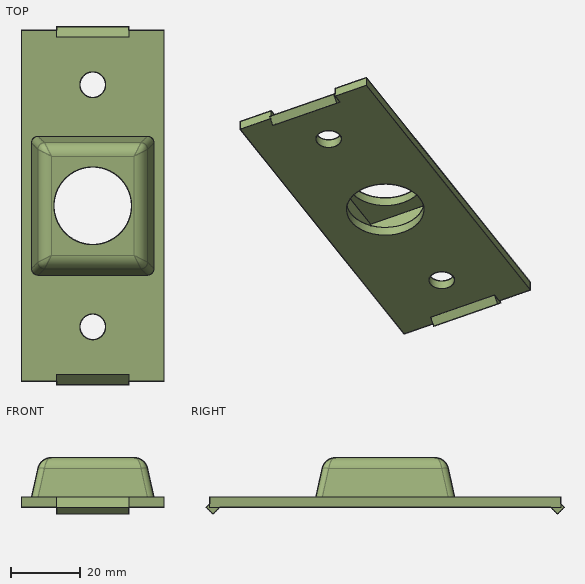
import cadquery as cq
import math

PLATE_WIDTH = 41.3
PLATE_LENGTH = 101.5
PLATE_THICKNESS = 3.0

HOUSING_WIDTH = 35.4
HOUSING_LENGTH = 40.2
HOUSING_HEIGHT = 11.4
DRAFT_ANGLE = 12.5
WALL = 3.0
CORNER_RADIUS = 2.0
TOP_RADIUS = 4.0

WINDOW_DIAMETER = 22.4
SCREW_HOLE_DIAMETER = 7.3
SCREW_HOLE_SPACING = 70.0

TAB_WIDTH = 20.9
TAB_SPAN = 103.5
TAB_DEPTH = 2.0
TAB_BASE = 2 * TAB_DEPTH

HOLE_CUT_HEIGHT = PLATE_THICKNESS + HOUSING_HEIGHT


def drafted_block(width, length, height):
    """Block on the plate's top face, narrowing upward at the draft angle."""
    return (
        cq.Workplane("XY")
        .workplane(offset=PLATE_THICKNESS)
        .rect(width, length)
        .extrude(height, taper=DRAFT_ANGLE)
    )


def make_housing():
    block = drafted_block(HOUSING_WIDTH, HOUSING_LENGTH, HOUSING_HEIGHT)
    rounded = block.faces(">Z").edges().fillet(TOP_RADIUS)
    return rounded.edges("not(|X or |Y)").edges("<Z").fillet(CORNER_RADIUS)


def make_cavity():
    wall_offset = WALL / math.cos(math.radians(DRAFT_ANGLE))
    return drafted_block(
        HOUSING_WIDTH - 2 * wall_offset,
        HOUSING_LENGTH - 2 * wall_offset,
        HOUSING_HEIGHT - WALL,
    )


def tab_prism(profile):
    """Extrude a (Y, Z) profile across the tab width, centred on X = 0."""
    return cq.Workplane("YZ").polyline(profile).close().extrude(TAB_WIDTH / 2, both=True)


def add_tab(plate):
    """Add the tab at the +Y end and bevel the plate edge above it."""
    tip = TAB_SPAN / 2
    bevel_start = tip - PLATE_THICKNESS
    bevel_waste = tab_prism([(bevel_start, PLATE_THICKNESS), (tip, 0), (tip, PLATE_THICKNESS)])
    tab = tab_prism([
        (bevel_start, PLATE_THICKNESS),
        (tip, 0),
        (tip - TAB_DEPTH, -TAB_DEPTH),
        (tip - TAB_BASE, 0),
    ])
    return plate.cut(bevel_waste).union(tab)


plate = cq.Workplane("XY").box(PLATE_WIDTH, PLATE_LENGTH, PLATE_THICKNESS, centered=(True, True, False))
for _ in range(2):
    plate = add_tab(plate).rotate((0, 0, 0), (0, 0, 1), 180)

window = cq.Workplane("XY").circle(WINDOW_DIAMETER / 2).extrude(HOLE_CUT_HEIGHT)
screw_holes = (
    cq.Workplane("XY")
    .rarray(1, SCREW_HOLE_SPACING, 1, 2)
    .circle(SCREW_HOLE_DIAMETER / 2)
    .extrude(PLATE_THICKNESS)
)

result = plate.union(make_housing()).cut(make_cavity()).cut(window).cut(screw_holes)